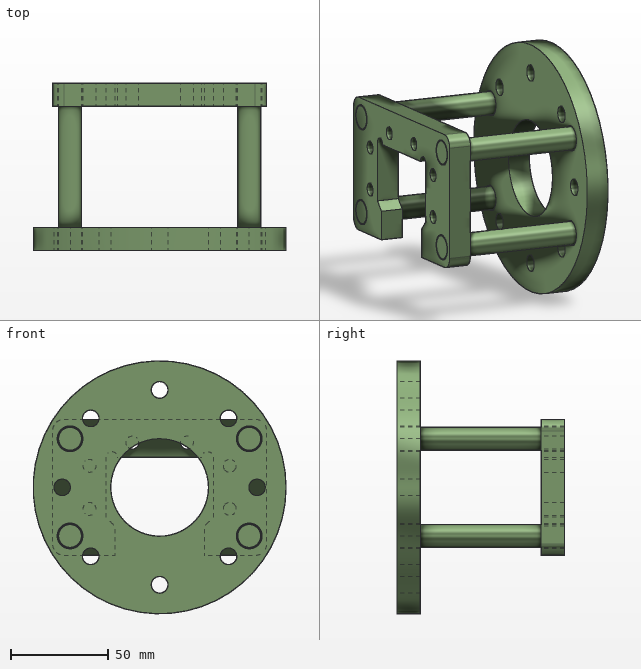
import cadquery as cq


plate_thickness = 12.0
overall_depth = 86.0

flange_diameter = 130
bore_diameter = 50.0
bolt_circle_radius = 50.0
bolt_count = 8
bolt_hole_diameter = 8.5

rod_diameter = 12.0
rod_hole_diameter = 13
rod_x = 46.0
rod_z = 25.0
rod_places = [(x, z) for x in (-rod_x, rod_x) for z in (-rod_z, rod_z)]

bracket_width = 110.0
bracket_height = 70.0
bracket_corner_radius = 6.0
window_half_width = 27.5
window_top = 15.3
relief_radius = 3.0
lug_projection = 4.5
lug_slope_top = -window_top
bracket_hole_diameter = 6.6
top_hole_x = 14.0
top_hole_z = 23.0
side_hole_x = 36.0
side_hole_z = 11.0


def sketch_plane(y):
    """XZ sketch plane at depth y whose local axes are X and Z; it extrudes toward -Y."""
    return cq.Workplane("XZ", origin=(0, y, 0))


def make_rod_holes(back_face):
    """Four rod clearance holes through a plate whose back face is at the given depth."""
    return (
        sketch_plane(back_face)
        .pushPoints(rod_places)
        .circle(rod_hole_diameter / 2)
        .extrude(plate_thickness)
    )


def make_flange():
    disc = sketch_plane(plate_thickness).circle(flange_diameter / 2).extrude(plate_thickness)
    bore = sketch_plane(plate_thickness).circle(bore_diameter / 2).extrude(plate_thickness)
    bolt_holes = (
        sketch_plane(plate_thickness)
        .polarArray(bolt_circle_radius, 0, 360, bolt_count)
        .circle(bolt_hole_diameter / 2)
        .extrude(plate_thickness)
    )
    return disc.cut(bore).cut(bolt_holes).cut(make_rod_holes(plate_thickness))


def make_window():
    """Window open at the bottom, with lugs at its mouth and round reliefs in its top corners."""
    bottom = -bracket_height / 2
    mouth_half_width = window_half_width - lug_projection
    lug_slope_bottom = lug_slope_top - lug_projection
    opening = (
        sketch_plane(overall_depth)
        .moveTo(-mouth_half_width, bottom)
        .lineTo(-mouth_half_width, lug_slope_bottom)
        .lineTo(-window_half_width, lug_slope_top)
        .lineTo(-window_half_width, window_top)
        .lineTo(window_half_width, window_top)
        .lineTo(window_half_width, lug_slope_top)
        .lineTo(mouth_half_width, lug_slope_bottom)
        .lineTo(mouth_half_width, bottom)
        .close()
        .extrude(plate_thickness)
    )
    relief_x = window_half_width - relief_radius
    reliefs = (
        sketch_plane(overall_depth)
        .pushPoints([(-relief_x, window_top), (relief_x, window_top)])
        .circle(relief_radius)
        .extrude(plate_thickness)
    )
    return opening.union(reliefs)


def make_bracket():
    top_holes = [(x, top_hole_z) for x in (-top_hole_x, top_hole_x)]
    side_holes = [(x, z) for x in (-side_hole_x, side_hole_x) for z in (-side_hole_z, side_hole_z)]
    block = (
        sketch_plane(overall_depth)
        .rect(bracket_width, bracket_height)
        .extrude(plate_thickness)
        .edges("|Y")
        .fillet(bracket_corner_radius)
    )
    holes = (
        sketch_plane(overall_depth)
        .pushPoints(top_holes + side_holes)
        .circle(bracket_hole_diameter / 2)
        .extrude(plate_thickness)
    )
    return block.cut(make_window()).cut(holes).cut(make_rod_holes(overall_depth))


def make_rod(x, z):
    """Rod from the flange's front face to the bracket's back face."""
    return sketch_plane(overall_depth).center(x, z).circle(rod_diameter / 2).extrude(overall_depth)


flange = make_flange()
bracket = make_bracket()
rods = [make_rod(x, z) for x, z in rod_places]

result = cq.Compound.makeCompound([flange.val(), bracket.val(), *[rod.val() for rod in rods]])